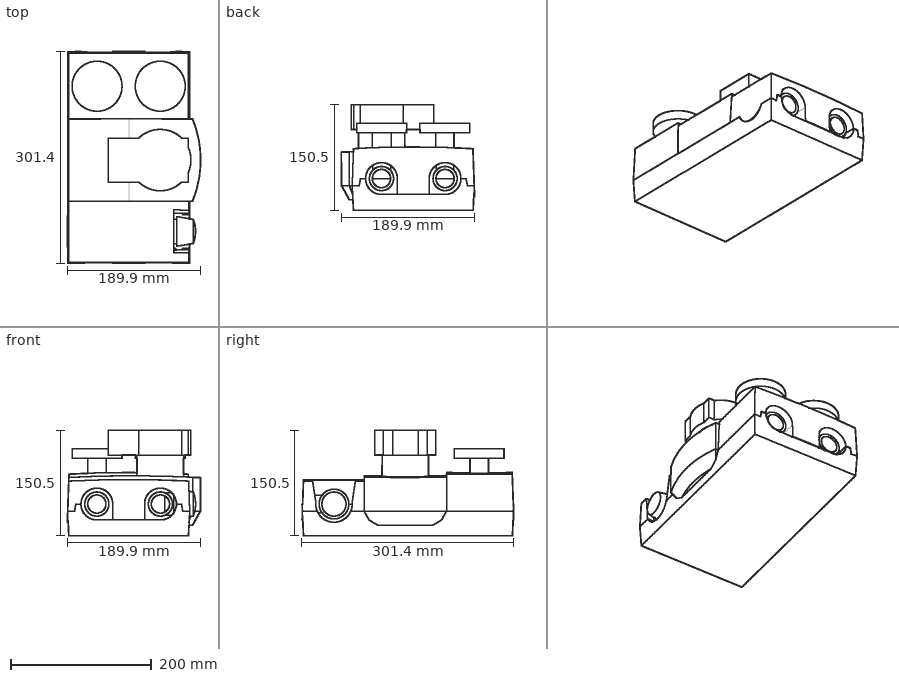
import cadquery as cq
import math

half_width = 86.8
tongue_half_length = 150.7
cover_draft = 2.0
base_draft = 2.5
parting_z = 35.3
ridge_z = 45.2
ridge_foot_half = 77.0
ridge_top_half = 75.0

rear_top = 90.0
middle_top = 85.3
front_top = 80.2
crown_rise = 2.5
middle_front_y = -62.5
middle_rear_y = 55.0
side_recess = 0.3

boss_corner_x = 91.0
boss_apex_x = 102.5
boss_bottom_z = 14.8

port_x = 45.2
port_radius = 22.5
port_depth = 45.2
tube_plate = 6.0
tube_outer_radius = 17.2
tube_bore_radius = 13.0
tube_setback = 9.5

opening_y = -105.2
opening_radius = 26.0
opening_floor_x = 64.2
pocket_top_width = 61.5
shaft_start_x = 51.2
shaft_radius = 16.0
neck_radius = 17.5
knob_start_x = 68.5
knob_large_radius = 21.0
knob_small_radius = 17.2
knob_rim_x = 92.0
knob_apex_x = 95.2

button_x = 45.0
button_y = 101.3
button_radius = 35.5
button_bottom_z = 110.0
button_top_z = 124.0
button_stem_radius = 13.3

handle_x = 45.0
handle_y = (middle_front_y + middle_rear_y) / 2
handle_stem_radius = 33.2
handle_radius = 43.7
handle_bottom_z = 114.8
handle_top_z = 150.5
handle_bar_width = 62.5
handle_bar_start_x = -29.2
handle_bar_end_x = 84.7

port_floor_z = ridge_z - port_radius
plug_bottom_z = ridge_z - opening_radius
port_floor_y = tongue_half_length - port_depth
plate_back_y = port_floor_y - tube_plate
tongue_half_width = port_x - port_radius
cover_slope = math.tan(math.radians(cover_draft))
half_length = tongue_half_length - (parting_z - port_floor_z) * cover_slope
boss_drop = parting_z - boss_bottom_z
boss_taper = math.degrees(math.atan((boss_apex_x - boss_corner_x) / boss_drop))
past_side = half_width + 3.0
past_end = tongue_half_length + 3.0


def box(x0, x1, y0, y1, z0, z1):
    """Box between two opposite corners."""
    return cq.Workplane("XY").box(x1 - x0, y1 - y0, z1 - z0, centered=False).translate((x0, y0, z0))


def drafted_block(x_half, y0, y1, z0, height, draft):
    """Block on the level z0 whose sides lean inward by the draft, upward or downward."""
    return (
        cq.Workplane("XY", origin=(0, (y0 + y1) / 2, z0))
        .rect(2 * x_half, y1 - y0)
        .extrude(height, taper=draft)
    )


def disc(x, y, radius, z0, z1):
    """Upright round disc or stem."""
    return cq.Workplane("XY", origin=(x, y, z0)).circle(radius).extrude(z1 - z0)


def side_cylinder(radius, x0, x1):
    """Cylinder along X on the axis of the side opening."""
    return cq.Workplane("YZ", origin=(x0, opening_y, ridge_z)).circle(radius).extrude(x1 - x0)


def end_cylinder(x, radius, y0, y1):
    """Cylinder along Y on the axis of a cable port."""
    return cq.Workplane("XZ", origin=(x, y0, ridge_z)).circle(radius).extrude(y0 - y1)


def cover_limits():
    """Drafted outer faces of the cover, from the lowest point of the plug to above the top."""
    growth = (parting_z - plug_bottom_z) * cover_slope
    return drafted_block(
        half_width + growth, -half_length - growth, half_length + growth,
        plug_bottom_z, rear_top - plug_bottom_z, cover_draft,
    )


def crowned_prism(y0, y1, top_z, right_end):
    """Prism along Y above the parting level; its arched top drops by the crown rise at each side."""
    edge_z = top_z - crown_rise
    return (
        cq.Workplane("XZ", origin=(0, y0, 0))
        .moveTo(-half_width, parting_z)
        .lineTo(-half_width, edge_z)
        .threePointArc(crown_middle(-half_width, top_z), (0, top_z))
        .threePointArc(crown_middle(right_end, top_z), (right_end, edge_z))
        .lineTo(right_end, parting_z)
        .close()
        .extrude(y0 - y1)
    )


def crown_middle(end_x, top_z):
    """Point halfway across an arch that is level at X = 0 and has dropped by the rise at end_x."""
    radius = (end_x**2 + crown_rise**2) / (2 * crown_rise)
    x = end_x / 2
    return x, top_z - radius + math.sqrt(radius**2 - x**2)


def boss_outline():
    """Plan outline of the side boss: straight ends and a bowed outer side."""
    return (
        cq.Workplane("XY", origin=(0, 0, parting_z))
        .moveTo(0, middle_front_y)
        .lineTo(boss_corner_x, middle_front_y)
        .threePointArc((boss_apex_x, handle_y), (boss_corner_x, middle_rear_y))
        .lineTo(0, middle_rear_y)
        .close()
    )


def base_block():
    """Base without its openings: drafted block with the raised ridge of the seam on top."""
    growth = (ridge_z - parting_z) * math.tan(math.radians(base_draft))
    outer_faces = drafted_block(
        half_width + growth, -half_length - growth, half_length + growth, ridge_z, -ridge_z, base_draft
    )
    section = (
        cq.Workplane("XZ", origin=(0, tongue_half_length, 0))
        .polyline([
            (-half_width, 0),
            (-half_width, parting_z),
            (-ridge_foot_half, parting_z),
            (-ridge_top_half, ridge_z),
            (ridge_top_half, ridge_z),
            (ridge_foot_half, parting_z),
            (half_width, parting_z),
            (half_width, 0),
        ])
        .close()
        .extrude(2 * tongue_half_length)
    )
    return outer_faces.intersect(section)


def port_slot(end, inner_y, outer_y):
    """Round-ended slot along Y that spans both ports of one end, with its top cut level at the seam."""
    y0, y1 = sorted((end * inner_y, end * outer_y))
    slot = box(-port_x, port_x, y0, y1, port_floor_z, ridge_z)
    for x in (-port_x, port_x):
        slot = slot.union(end_cylinder(x, port_radius, y0, y1))
    slot_half = port_x + port_radius
    return slot.intersect(box(-slot_half, slot_half, y0, y1, port_floor_z, ridge_z))


def port_recesses():
    """Round recesses of the four cable ports."""
    recesses = cq.Workplane("XY")
    for end in (-1, 1):
        for x in (-port_x, port_x):
            recesses = recesses.add(end_cylinder(x, port_radius, end * port_floor_y, end * past_end))
    return recesses.combine()


def make_base():
    """Lower body: drafted block with the lower part of the side boss, port slots and side notches."""
    base = base_block()
    boss = boss_outline().extrude(-boss_drop, taper=boss_taper)
    base = base.union(boss)
    for end in (-1, 1):
        base = base.cut(port_slot(end, plate_back_y, past_end))
    for side in (-1, 1):
        base = base.cut(side_cylinder(opening_radius, side * opening_floor_x, side * past_side))
    return base.cut(side_cylinder(shaft_radius, shaft_start_x, opening_floor_x))


def cover_shell():
    """Three crowned steps above the seam, with the upper part of the side boss."""
    end_height = rear_top - parting_z
    draft_gain = (front_top - parting_z) * cover_slope
    front = drafted_block(
        half_width, -half_length, middle_front_y + draft_gain, parting_z, end_height, cover_draft
    ).intersect(crowned_prism(-half_length, 0, front_top, half_width))
    draft_gain = end_height * cover_slope
    rear = drafted_block(
        half_width, middle_rear_y - draft_gain, half_length, parting_z, end_height, cover_draft
    ).intersect(crowned_prism(0, half_length, rear_top, half_width))
    middle = drafted_block(
        half_width - side_recess, -half_length, half_length, parting_z, end_height, cover_draft
    ).union(boss_outline().extrude(end_height))
    middle = middle.intersect(crowned_prism(middle_front_y, middle_rear_y, middle_top, boss_apex_x))
    return front.union(rear).union(middle)


def end_tongues():
    """Tongues between the ports, reaching down into the base at both ends."""
    tongues = cq.Workplane("XY")
    for end in (-1, 1):
        y0, y1 = sorted((end * port_floor_y, end * tongue_half_length))
        tongues = tongues.add(
            box(-tongue_half_width, tongue_half_width, y0, y1, port_floor_z, ridge_z + port_radius)
        )
    return tongues.combine().intersect(cover_limits())


def port_tube(x, end):
    """Cable tube standing on the floor of a port recess."""
    floor_y = end * port_floor_y
    mouth_y = end * (tongue_half_length - tube_setback)
    outside = end_cylinder(x, tube_outer_radius, floor_y, mouth_y)
    return outside.cut(end_cylinder(x, tube_bore_radius, floor_y, mouth_y))


def lever_pocket():
    """Pocket above the side opening, open at the top, with walls leaning outward."""
    bottom_half = math.sqrt(opening_radius**2 - (ridge_z - parting_z) ** 2)
    top_half = pocket_top_width / 2
    return (
        cq.Workplane("YZ", origin=(opening_floor_x, opening_y, 0))
        .polyline([
            (-bottom_half, parting_z),
            (-top_half, front_top),
            (top_half, front_top),
            (bottom_half, parting_z),
        ])
        .close()
        .extrude(past_side - opening_floor_x)
    )


def lever_knob():
    """Turned knob along X: shaft, neck, cone and domed end."""
    dome_height = knob_apex_x - knob_rim_x
    dome_radius = (knob_small_radius**2 + dome_height**2) / (2 * dome_height)
    mid_r = knob_small_radius / 2
    mid_x = knob_apex_x - dome_radius + math.sqrt(dome_radius**2 - mid_r**2)
    return (
        cq.Workplane("XY")
        .moveTo(shaft_start_x, 0)
        .lineTo(shaft_start_x, shaft_radius)
        .lineTo(opening_floor_x, shaft_radius)
        .lineTo(opening_floor_x, neck_radius)
        .lineTo(knob_start_x, neck_radius)
        .lineTo(knob_start_x, knob_large_radius)
        .lineTo(knob_rim_x, knob_small_radius)
        .threePointArc((mid_x, mid_r), (knob_apex_x, 0))
        .close()
        .revolve(360, (0, 0, 0), (1, 0, 0))
        .translate((0, opening_y, ridge_z))
    )


def push_button(x):
    """Round button on a thin stem."""
    stem = disc(x, button_y, button_stem_radius, ridge_z, button_bottom_z)
    return stem.union(disc(x, button_y, button_radius, button_bottom_z, button_top_z))


def rotary_handle():
    """Round grip crossed by a straight bar, on a thick stem."""
    stem = disc(handle_x, handle_y, handle_stem_radius, ridge_z, handle_bottom_z)
    grip = disc(handle_x, handle_y, handle_radius, handle_bottom_z, handle_top_z)
    bar_half = handle_bar_width / 2
    bar = box(
        handle_bar_start_x, handle_bar_end_x, handle_y - bar_half, handle_y + bar_half,
        handle_bottom_z, handle_top_z,
    )
    return stem.union(grip).union(bar)


def make_cover():
    """Upper body: stepped cover with its plug, tongues, cable tubes, lever knob, buttons and handle."""
    plug = side_cylinder(opening_radius, -past_side, -opening_floor_x).intersect(cover_limits())
    cover = cover_shell().cut(base_block()).union(plug)
    for end in (-1, 1):
        cover = cover.union(port_slot(end, plate_back_y, port_floor_y))
    cover = cover.cut(port_recesses()).union(end_tongues())
    cover = cover.cut(lever_pocket()).cut(side_cylinder(opening_radius, opening_floor_x, past_side))
    for end in (-1, 1):
        for x in (-port_x, port_x):
            cover = cover.union(port_tube(x, end))
    cover = cover.union(lever_knob())
    for x in (-button_x, button_x):
        cover = cover.union(push_button(x))
    return cover.union(rotary_handle())


base = make_base()
cover = make_cover()

result = cq.Compound.makeCompound([base.solids().val(), cover.solids().val()])